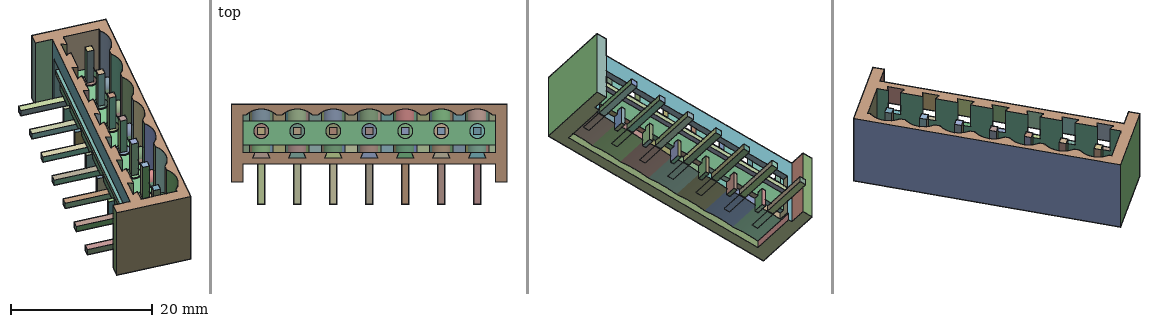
import cadquery as cq
import math


pin_count = 7
pin_width = 1.0
pin_top = 11.1
pin_leg_top = 2.57
pin_depth = 3.8
pin_reach = 14.2

length = 38.95
height = 12.0
arm_depth = 11.03
arm_width = 1.68
front_depth = 8.5

cavity_back_depth = 1.55
cavity_front_depth = 6.85
floor_top = 3.1
lobe_radius = 3.1
lobe_peak_depth = 0.7

hump_radius = 1.5
hump_half_angle = math.radians(57.5)
hump_half_width = 1.65
bar_back_depth = 2.38
bar_front_depth = 5.75
bar_top = 4.87
collar_radius = 1.05
collar_height = 0.2

slot_front_depth = 7.65
slot_narrow_half = 0.9
slot_wide_half = 1.2
slot_bottom = 7.8

recess_side = 2.45
recess_top = 8.85
panel_depth = 7.6
ledge_top = 6.75
ledge_bottom = 5.92
ledge_depth = 8.3
rib_width = 0.6
rib_top = 3.27

hollow_right_side = 2.25
vault_crown = 1.45
vault_radius = 15.2

cavity_half = length / 2 - arm_width
pitch = 2 * cavity_half / pin_count
pin_xs = [(i - (pin_count - 1) / 2) * pitch for i in range(pin_count)]
rib_xs = [x + pitch / 2 for x in pin_xs[:-1]]
recess_half = length / 2 - recess_side
pin_leg_bottom = pin_leg_top - pin_width


def block(x_from, x_to, depth_from, depth_to, z_from, z_to):
    """Box between two X positions, two depths from the back face and two heights."""
    return (
        cq.Workplane("XY")
        .box(x_to - x_from, depth_to - depth_from, z_to - z_from, centered=False)
        .translate((x_from, -depth_to, z_from))
    )


def centred_block(x, width, depth_from, depth_to, z_from, z_to):
    """Block whose width is centred on x."""
    return block(x - width / 2, x + width / 2, depth_from, depth_to, z_from, z_to)


def outer_shell():
    """Main block with an arm along each side."""
    body = block(-length / 2, length / 2, 0, front_depth, 0, height)
    for side in (-1, 1):
        arm_x = side * (length - arm_width) / 2
        body = body.union(centred_block(arm_x, arm_width, 0, arm_depth, 0, height))
    return body


def cavity():
    """Plug cavity: a rectangle with a round lobe behind each pin."""
    cut = block(-cavity_half, cavity_half, cavity_back_depth, cavity_front_depth, floor_top, height)
    for x in pin_xs:
        lobe = (
            cq.Workplane("XY")
            .center(x, -lobe_peak_depth - lobe_radius)
            .circle(lobe_radius)
            .extrude(height - floor_top)
            .translate((0, 0, floor_top))
        )
        lobe_room = centred_block(x, pitch, 0, pin_depth, floor_top, height)
        cut = cut.union(lobe.intersect(lobe_room))
    return cut


def slot(x):
    """Dovetail slot that widens into the front wall."""
    return (
        cq.Workplane("XY", origin=(x, 0, slot_bottom))
        .polyline([
            (-slot_narrow_half, -cavity_front_depth),
            (slot_narrow_half, -cavity_front_depth),
            (slot_wide_half, -slot_front_depth),
            (-slot_wide_half, -slot_front_depth),
        ])
        .close()
        .extrude(height - slot_bottom)
    )


def hump(x):
    """Rounded ridge on the cavity floor, with flat flanks tangent to its top."""
    shoulder_x = hump_radius * math.sin(hump_half_angle)
    shoulder_z = (hump_half_width - shoulder_x) * math.tan(hump_half_angle)
    crown_z = shoulder_z + hump_radius * (1 - math.cos(hump_half_angle))
    return (
        cq.Workplane("XZ", origin=(x, -lobe_peak_depth, floor_top))
        .moveTo(-hump_half_width, 0)
        .lineTo(-shoulder_x, shoulder_z)
        .threePointArc((0, crown_z), (shoulder_x, shoulder_z))
        .lineTo(hump_half_width, 0)
        .close()
        .extrude(cavity_front_depth - lobe_peak_depth)
    )


def collar(x):
    """Low round collar on the bar, around a pin."""
    return (
        cq.Workplane("XY", origin=(x, -pin_depth, bar_top))
        .circle(collar_radius)
        .extrude(collar_height)
    )


def front_recess():
    """Recess in the front wall; below the panel it reaches back to the floor block."""
    upper = block(-recess_half, recess_half, panel_depth, front_depth, 0, recess_top)
    lower = block(-recess_half, recess_half, cavity_front_depth, front_depth, 0, pin_leg_top)
    return upper.union(lower)


def underside_hollow():
    """Hollow open at the bottom and the front, roofed by the vaults."""
    right_end = length / 2 - hollow_right_side
    room = block(-recess_half, right_end, cavity_back_depth, front_depth, 0, vault_crown)
    vaults = cq.Workplane("XY")
    for x in pin_xs:
        vault = (
            cq.Workplane("XZ", origin=(x, 0, vault_crown - vault_radius))
            .circle(vault_radius)
            .extrude(front_depth)
            .intersect(centred_block(x, pitch, 0, front_depth, 0, vault_crown))
        )
        vaults = vaults.add(vault)
    return vaults.combine().intersect(room)


def make_pin(x):
    """Square pin bent to a right angle: an upright and a leg towards the front."""
    upright_back = pin_depth - pin_width / 2
    upright = centred_block(
        x, pin_width, upright_back, upright_back + pin_width, pin_leg_bottom, pin_top
    )
    leg = centred_block(x, pin_width, upright_back, pin_reach, pin_leg_bottom, pin_leg_top)
    return upright.union(leg)


def make_housing(pins):
    """Housing with a matching hole for each pin."""
    body = outer_shell().cut(cavity())
    for x in pin_xs:
        body = body.union(hump(x)).cut(slot(x))
    body = body.union(
        block(-cavity_half, cavity_half, bar_back_depth, bar_front_depth, floor_top, bar_top)
    )
    for x in pin_xs:
        body = body.union(collar(x))
    body = body.cut(front_recess()).cut(underside_hollow())
    body = body.union(
        block(-recess_half, recess_half, panel_depth, ledge_depth, ledge_bottom, ledge_top)
    )
    for x in rib_xs:
        body = body.union(centred_block(x, rib_width, cavity_front_depth, front_depth, 0, rib_top))
    for pin in pins:
        body = body.cut(pin)
    return body


pins = [make_pin(x) for x in pin_xs]
housing = make_housing(pins)

result = cq.Compound.makeCompound([housing.solids().val(), *[pin.val() for pin in pins]])